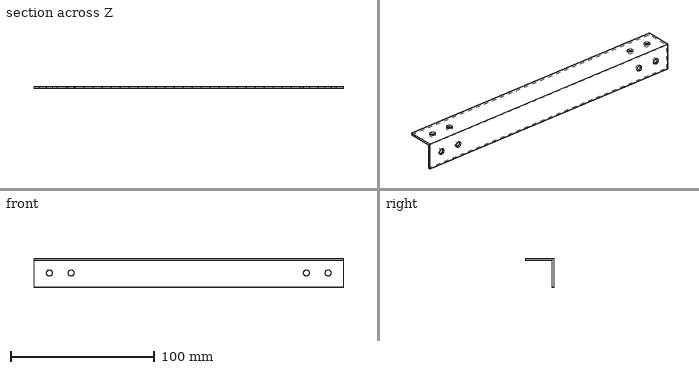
import cadquery as cq

length = 216.0
leg_width = 20.0
thickness = 1.5
hole_diameter = 4.0
end_to_outer_hole = 10.8
hole_spacing = 15.1

outer_hole_x = length / 2 - end_to_outer_hole
inner_hole_x = outer_hole_x - hole_spacing
hole_positions = [(x, 0) for x in (-outer_hole_x, -inner_hole_x, inner_hole_x, outer_hole_x)]


def drill_leg(body, face):
    """Drill the row of holes along the middle of the leg behind the given outer face."""
    return (
        body.faces(face)
        .workplane(centerOption="CenterOfBoundBox")
        .pushPoints(hole_positions)
        .hole(hole_diameter, leg_width)
    )


block = cq.Workplane("XY").box(length, leg_width, leg_width)
inner_space = (
    cq.Workplane("XY")
    .box(length, leg_width, leg_width)
    .translate((0, -thickness, -thickness))
)
angle = block.cut(inner_space)

angle = drill_leg(angle, ">Z")
result = drill_leg(angle, ">Y")